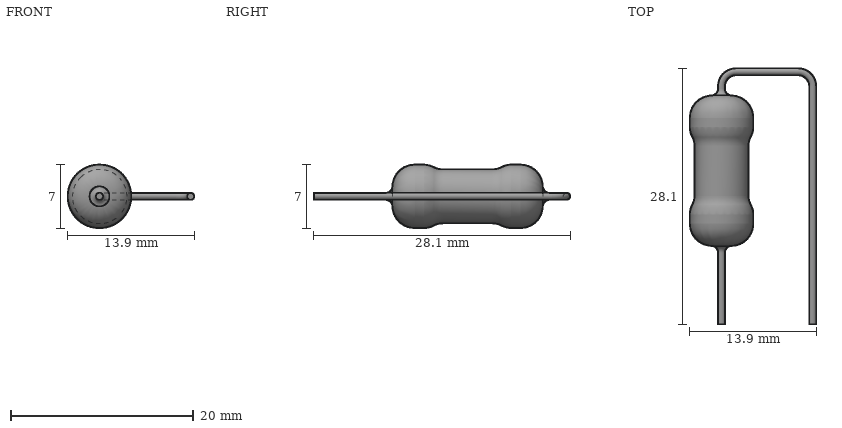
import cadquery as cq
import math

wire_radius = 0.4
overall_length = 28.1
lead_spacing = 10.0
bend_radius = 1.6

body_center_y = 16.85
end_radius = 3.498
waist_radius = 2.98
waist_half_length = 2.75
shoulder_length = 2.02
end_band_length = 1.0
dome_radius = 2.47
neck_radius = 0.7

shoulder_end = waist_half_length + shoulder_length
shoulder_middle = waist_half_length + shoulder_length / 2
band_end = shoulder_end + end_band_length
face_station = band_end + dome_radius
neck_end = face_station + neck_radius
middle_radius = (waist_radius + end_radius) / 2
face_radius = end_radius - dome_radius
neck_foot_radius = wire_radius + neck_radius


def half_body():
    """Revolved half of the body, from its middle to the end of the neck."""
    diagonal = math.sqrt(0.5)
    neck_middle = (
        neck_foot_radius - neck_radius * diagonal,
        neck_end - neck_radius * diagonal,
    )
    dome_middle = (
        face_radius + dome_radius * diagonal,
        band_end + dome_radius * diagonal,
    )
    shell = (
        cq.Workplane("XY")
        .lineTo(waist_radius, 0)
        .lineTo(waist_radius, waist_half_length)
        .tangentArcPoint((middle_radius, shoulder_middle), relative=False)
        .tangentArcPoint((end_radius, shoulder_end), relative=False)
        .lineTo(end_radius, band_end)
        .threePointArc(dome_middle, (face_radius, face_station))
        .lineTo(0, face_station)
        .close()
        .revolve(360, (0, 0), (0, 1))
    )
    neck = (
        cq.Workplane("XY")
        .moveTo(0, band_end)
        .lineTo(neck_foot_radius, band_end)
        .lineTo(neck_foot_radius, face_station)
        .threePointArc(neck_middle, (wire_radius, neck_end))
        .lineTo(0, neck_end)
        .close()
        .revolve(360, (0, 0), (0, 1))
    )
    return shell.union(neck)


def body():
    """Whole body: two opposed halves moved to their place on the wire."""
    rear = half_body()
    front = rear.rotate((0, 0, 0), (1, 0, 0), 180)
    return rear.union(front, clean=True).translate((0, body_center_y, 0))


def lead_wire():
    """Round wire swept along both leads and the bridge between them."""
    bridge_y = overall_length - wire_radius
    bend_start = bridge_y - bend_radius
    path = (
        cq.Workplane("XY")
        .lineTo(0, bend_start)
        .tangentArcPoint((bend_radius, bridge_y), relative=False)
        .lineTo(lead_spacing - bend_radius, bridge_y)
        .tangentArcPoint((lead_spacing, bend_start), relative=False)
        .lineTo(lead_spacing, 0)
    )
    return cq.Workplane("XZ").circle(wire_radius).sweep(path)


result = body().union(lead_wire())